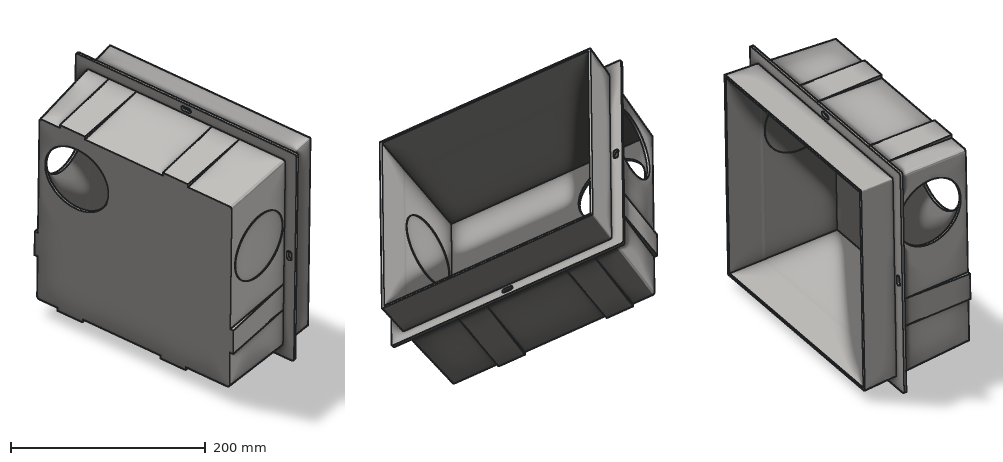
import cadquery as cq
import math


tip_angle = 1.0
tip_sine = math.sin(math.radians(tip_angle))
tip_cosine = math.cos(math.radians(tip_angle))

overall_size = 278.0
flange_thickness = 3.0
flange_corner_radius = 2.8
flange_size = (overall_size - flange_thickness * tip_sine) / (tip_cosine + tip_sine**2)
slot_length = 12.2
slot_width = 5.8
slot_offset = 131.5

box_size = 250.3
box_depth = 89.8
box_draft = 2.5
box_corner_radius = 3.3
wall = 3.0

collar_depth = 40.0
collar_draft = 2.0
collar_corner_radius = 1.7

pad_width = 34.8
pad_draft = 1.0
pad_root = 8.3
pads_across_x = (-79.5, 50.0)
left_pad_z = -49.0
right_pad_z = -58.5

pipe_diameter = 79.8
pipe_z = 62.8
floor_pipe_x = -73.5
wall_openings_y = -42.5
knockout_z = 38.5
knockout_recess = 0.8


def grown_size(length, draft):
    """Change of full size over a length when both sides are drafted."""
    return 2 * length * math.tan(math.radians(draft))


floor_size = box_size - grown_size(box_depth, box_draft)
mouth_y = flange_thickness + collar_depth
mouth_size = box_size + grown_size(collar_depth, collar_draft)


def square_frustum(start_y, start_size, end_y, end_size, corner_radius):
    """Square block along Y whose size changes from start_size to end_size."""
    block = (
        cq.Workplane("XZ", origin=(0, start_y, 0))
        .rect(start_size, start_size)
        .workplane(offset=start_y - end_y)
        .rect(end_size, end_size)
        .loft(ruled=True)
    )
    if corner_radius > 0:
        block = block.edges("not(|X or |Z)").fillet(corner_radius)
    return block


def box_inset_by(inset):
    """Full-depth box with sharp corners and its four walls moved inward by inset."""
    return square_frustum(0, box_size - 2 * inset, -box_depth, floor_size - 2 * inset, 0)


def make_pad(angle, position):
    """Pad on the +Z wall at X = position, turned by angle about the Y axis."""
    half_root = pad_width / 2
    half_tip = half_root - grown_size(box_depth, pad_draft) / 2
    outline = [
        (position - half_root, 0),
        (position + half_root, 0),
        (position + half_tip, -box_depth),
        (position - half_tip, -box_depth),
    ]
    pad = (
        cq.Workplane("XY", origin=(0, 0, box_size / 2 - pad_root))
        .polyline(outline)
        .close()
        .extrude(pad_root)
    )
    return pad.rotate((0, 0, 0), (0, 1, 0), angle)


def cylinder_along_x(start_x, length, y, z):
    """Pipe-sized cylinder from start_x toward +X."""
    return (
        cq.Workplane("YZ", origin=(start_x, y, z))
        .circle(pipe_diameter / 2)
        .extrude(length)
    )


box = square_frustum(0, box_size, -box_depth, floor_size, box_corner_radius)
collar = square_frustum(flange_thickness, box_size, mouth_y, mouth_size, collar_corner_radius)
flange = (
    cq.Workplane("XZ")
    .rect(flange_size, flange_size)
    .extrude(-flange_thickness)
    .edges("|Y")
    .fillet(flange_corner_radius)
)
body = box.union(flange).union(collar)

for x in pads_across_x:
    body = body.union(make_pad(0, x))
    body = body.union(make_pad(180, -x))
body = body.union(make_pad(90, -right_pad_z))
body = body.union(make_pad(-90, left_pad_z))

cavity_depth = box_depth - wall
cavity_size = box_size - 2 * wall
cavity_floor_size = cavity_size - grown_size(cavity_depth, box_draft)
cavity_mouth_size = mouth_size - 2 * wall
body = body.cut(square_frustum(0, cavity_size, -cavity_depth, cavity_floor_size, 0))
body = body.cut(square_frustum(0, cavity_size, flange_thickness, cavity_size, 0))
body = body.cut(square_frustum(flange_thickness, cavity_size, mouth_y, cavity_mouth_size, 0))

for angle in (0, 90, 180, 270):
    slot = (
        cq.Workplane("XZ")
        .center(0, slot_offset)
        .slot2D(slot_length, slot_width)
        .extrude(-flange_thickness)
        .rotate((0, 0, 0), (0, 1, 0), angle)
    )
    body = body.cut(slot)

floor_opening = (
    cq.Workplane("XZ", origin=(floor_pipe_x, -cavity_depth / 2, pipe_z))
    .circle(pipe_diameter / 2)
    .extrude(box_depth)
)
body = body.cut(floor_opening)

body = body.cut(cylinder_along_x(-box_size / 2, box_size / 2, wall_openings_y, pipe_z))

knockout = cylinder_along_x(0, box_size / 2, wall_openings_y, knockout_z)
web = box_inset_by(knockout_recess).cut(box_inset_by(wall - knockout_recess)).intersect(knockout)
body = body.cut(knockout).union(web)

result = (
    body.rotate((0, 0, 0), (1, 0, 0), -tip_angle)
    .rotate((0, 0, 0), (0, 0, 1), tip_angle)
)